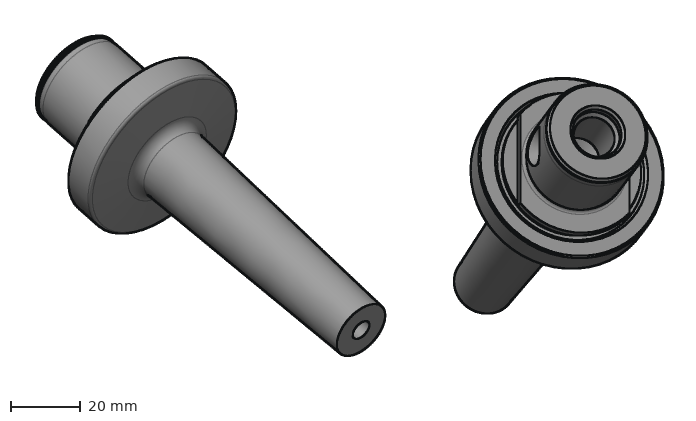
import cadquery as cq
import math

total_length = 129.0
overall_diameter = 55.0

spigot_radius = 15.0
spigot_nose_radius = 14.2
nose_chamfer_length = 0.9
nose_land_end = 1.5
spigot_groove_start = 1.8
spigot_groove_end = 2.3
lead_radius = 14.8
lead_end = 4.0
collar_start = 26.0
root_fillet = 1.0
undercut_start = 24.1
undercut_end = collar_start - root_fillet
undercut_radius = 14.7

collar_end = 28.6
collar_radius = 21.3
neck_start = 29.4
neck_radius = 20.5
flat_to_flat = 32.4

disc_start = 29.9
disc_end = 40.2
disc_radius = overall_diameter / 2
front_chamfer = 0.5
edge_fillet = 0.9
face_groove_outer_radius = 22.7
face_groove_floor_radius = 21.8
face_groove_depth = 0.9

rear_face_end = 41.8
rear_face_inner_radius = 14.6
shank_start = 45.2
shank_start_radius = 11.5
shank_end_radius = 9.0
root_arc_radius = 3.5

mouth_radius = 8.1
counterbore_radius = 7.2
counterbore_depth = 3.1
thread_radius = 6.0
thread_depth = 21.9
through_radius = 3.1
drill_tip_angle = 118.0

side_seat_x = 15.7
side_seat_tip = 8.4


def revolve_about_x(profile):
    """Turn a closed (x, radius) profile about the X axis."""
    return profile.close().revolve(360, (0, 0, 0), (1, 0, 0))


def make_body():
    """Turned outer shape from the spigot nose to the shank tip."""
    chord_x = shank_start - rear_face_end
    chord_r = rear_face_inner_radius - shank_start_radius
    chord = math.hypot(chord_x, chord_r)
    sagitta = root_arc_radius - math.sqrt(root_arc_radius**2 - (chord / 2) ** 2)
    arc_mid_x = (rear_face_end + shank_start) / 2 - sagitta * chord_r / chord
    arc_mid_r = (rear_face_inner_radius + shank_start_radius) / 2 - sagitta * chord_x / chord

    root_mid_x = undercut_end + root_fillet * math.sin(math.pi / 4)
    root_mid_r = undercut_radius + root_fillet * (1 - math.cos(math.pi / 4))

    edge_mid_x = disc_end - edge_fillet * (1 - math.sin(math.pi / 4))
    edge_mid_r = disc_radius - edge_fillet * (1 - math.cos(math.pi / 4))

    groove_bottom = disc_start + face_groove_depth
    profile = (
        cq.Workplane("XY")
        .moveTo(0, 0)
        .lineTo(0, spigot_nose_radius)
        .lineTo(nose_chamfer_length, spigot_radius)
        .lineTo(nose_land_end, spigot_radius)
        .lineTo(spigot_groove_start, undercut_radius)
        .lineTo(spigot_groove_end, lead_radius)
        .lineTo(lead_end, spigot_radius)
        .lineTo(undercut_start, spigot_radius)
        .lineTo(undercut_end, undercut_radius)
        .threePointArc((root_mid_x, root_mid_r), (collar_start, undercut_radius + root_fillet))
        .lineTo(collar_start, collar_radius)
        .lineTo(collar_end, collar_radius)
        .lineTo(neck_start, neck_radius)
        .lineTo(groove_bottom, neck_radius)
        .lineTo(groove_bottom, face_groove_floor_radius)
        .lineTo(disc_start, face_groove_outer_radius)
        .lineTo(disc_start, disc_radius - front_chamfer)
        .lineTo(disc_start + front_chamfer, disc_radius)
        .lineTo(disc_end - edge_fillet, disc_radius)
        .threePointArc((edge_mid_x, edge_mid_r), (disc_end, disc_radius - edge_fillet))
        .lineTo(rear_face_end, rear_face_inner_radius)
        .threePointArc((arc_mid_x, arc_mid_r), (shank_start, shank_start_radius))
        .lineTo(total_length, shank_end_radius)
        .lineTo(total_length, 0)
    )
    return revolve_about_x(profile)


def make_bore():
    """Chamfered counterbore, threaded-size bore with conical end, and through hole."""
    mouth_chamfer = mouth_radius - counterbore_radius
    counterbore_cone = counterbore_radius - thread_radius
    drill_cone = (thread_radius - through_radius) / math.tan(math.radians(drill_tip_angle / 2))
    profile = (
        cq.Workplane("XY")
        .moveTo(0, 0)
        .lineTo(0, mouth_radius)
        .lineTo(mouth_chamfer, counterbore_radius)
        .lineTo(counterbore_depth, counterbore_radius)
        .lineTo(counterbore_depth + counterbore_cone, thread_radius)
        .lineTo(thread_depth, thread_radius)
        .lineTo(thread_depth + drill_cone, through_radius)
        .lineTo(total_length, through_radius)
        .lineTo(total_length, 0)
    )
    return revolve_about_x(profile)


def make_flat_cutter(side):
    """Block that removes one side of the collar beyond its flat (side is +1 or -1)."""
    cutter_thickness = collar_radius - flat_to_flat / 2
    return cq.Workplane("XY").box(
        neck_start - collar_start, cutter_thickness, overall_diameter, centered=(False, True, True)
    ).translate((collar_start, side * (flat_to_flat / 2 + cutter_thickness / 2), 0))


def make_side_seat():
    """Cone sinking into the spigot from +Y, its tip short of the bore."""
    seat_depth = spigot_radius - side_seat_tip
    return cq.Workplane("XY").add(
        cq.Solid.makeCone(
            0,
            seat_depth,
            seat_depth,
            pnt=cq.Vector(side_seat_x, side_seat_tip, 0),
            dir=cq.Vector(0, 1, 0),
        )
    )


result = make_body().cut(make_bore()).cut(make_side_seat())
for side in (1, -1):
    result = result.cut(make_flat_cutter(side))